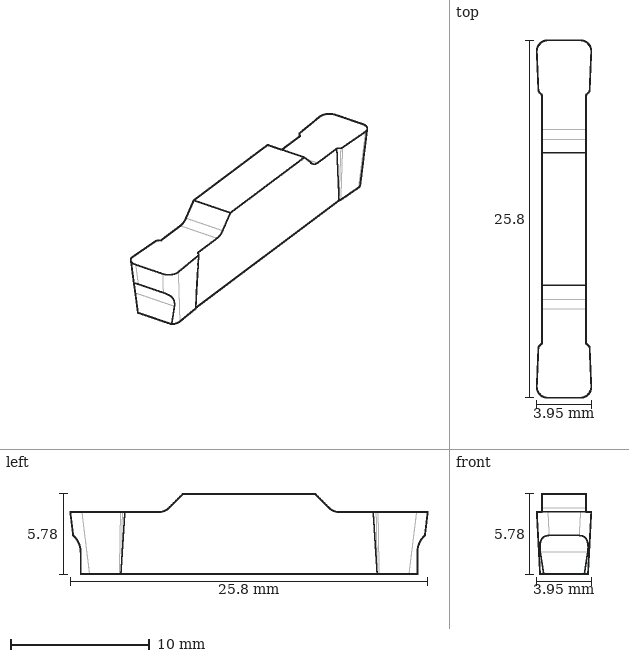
import cadquery as cq
import math

length = 25.8
height = 5.78
half_length = length / 2

shank_width = 3.2
shelf_height = 4.5
ridge_half_length = 4.77
ridge_slope_run = height - shelf_height
ridge_root_radius = 1.0
shank_half_length = 10.32

head_width = 3.95
corner_radius = 0.8
side_taper_angle = math.radians(2.4)
side_relief_angle = math.radians(3)
front_relief_angle = math.radians(7)
back_relief_angle = math.radians(1)
side_length = 3.6
shoulder_radius = 0.2
shoulder_angle = math.radians(45)
shoulder_inner_x = 1.03

hollow_top_depth = 1.7
hollow_bottom_depth = 2.9
hollow_setback = 0.75


def make_shank():
    slope_foot = ridge_half_length + ridge_slope_run
    profile = [
        (-shank_half_length, 0),
        (shank_half_length, 0),
        (shank_half_length, shelf_height),
        (slope_foot, shelf_height),
        (ridge_half_length, height),
        (-ridge_half_length, height),
        (-slope_foot, shelf_height),
        (-shank_half_length, shelf_height),
    ]
    shank = cq.Workplane("YZ").polyline(profile).close().extrude(shank_width / 2, both=True)
    root_edges = cq.selectors.BoxSelector(
        (-shank_width, -slope_foot - 0.25, shelf_height - 0.25),
        (shank_width, slope_foot + 0.25, shelf_height + 0.25),
    )
    return shank.edges("|X").edges(root_edges).fillet(ridge_root_radius)


def arc_point(center, radius, angle):
    return (center[0] + radius * math.cos(angle), center[1] + radius * math.sin(angle))


def head_outline(plane, depth):
    """Draw the +Y head's plan outline at a depth below its top face."""
    half_width = head_width / 2 - depth * math.tan(side_relief_angle)
    tip_y = half_length - depth * math.tan(front_relief_angle)
    rear_y = half_length - side_length + depth * math.tan(back_relief_angle)

    corner = (half_width - corner_radius, tip_y - corner_radius)
    corner_mid = arc_point(corner, corner_radius, math.pi / 4)
    side_start = arc_point(corner, corner_radius, -side_taper_angle)
    side_end_x = side_start[0] - (side_start[1] - rear_y) * math.tan(side_taper_angle)

    shoulder = (
        side_end_x - shoulder_radius * math.cos(side_taper_angle),
        rear_y + shoulder_radius * math.sin(side_taper_angle),
    )
    shoulder_mid = arc_point(shoulder, shoulder_radius, -(side_taper_angle + shoulder_angle) / 2)
    wall_start = arc_point(shoulder, shoulder_radius, -shoulder_angle)
    wall_end_y = wall_start[1] - (wall_start[0] - shoulder_inner_x) / math.tan(shoulder_angle)

    def mirrored(point):
        return (-point[0], point[1])

    return (
        plane.moveTo(-corner[0], tip_y)
        .lineTo(corner[0], tip_y)
        .threePointArc(corner_mid, side_start)
        .lineTo(side_end_x, rear_y)
        .threePointArc(shoulder_mid, wall_start)
        .lineTo(shoulder_inner_x, wall_end_y)
        .lineTo(-shoulder_inner_x, wall_end_y)
        .lineTo(*mirrored(wall_start))
        .threePointArc(mirrored(shoulder_mid), (-side_end_x, rear_y))
        .lineTo(*mirrored(side_start))
        .threePointArc(mirrored(corner_mid), (-corner[0], tip_y))
        .close()
    )


def make_tip_hollow():
    """Cutter whose concave arc runs down tangent to a vertical lower face."""
    top_y = half_length - hollow_top_depth * math.tan(front_relief_angle)
    top_z = shelf_height - hollow_top_depth
    lower_y = half_length - hollow_setback
    arc_bottom_z = shelf_height - hollow_bottom_depth

    rise = top_z - arc_bottom_z
    run = top_y - lower_y
    radius = (rise**2 + run**2) / (2 * run)
    half_sweep = math.asin(rise / radius) / 2
    arc_mid = arc_point((lower_y + radius, arc_bottom_z), radius, math.pi - half_sweep)

    return (
        cq.Workplane("YZ")
        .moveTo(lower_y, 0)
        .lineTo(lower_y, arc_bottom_z)
        .threePointArc(arc_mid, (top_y, top_z))
        .lineTo(half_length, top_z)
        .lineTo(half_length, 0)
        .close()
        .extrude(head_width, both=True)
    )


def make_head():
    bottom = head_outline(cq.Workplane("XY"), shelf_height)
    blank = head_outline(bottom.workplane(offset=shelf_height), 0).loft(ruled=True)
    return blank.cut(make_tip_hollow())


head = make_head()
result = make_shank().union(head).union(head.mirror("XZ"))